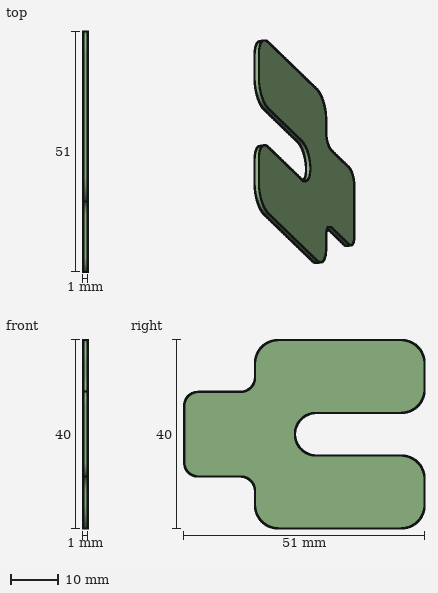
import cadquery as cq

thickness = 1.0
length = 51.0
height = 40.0

tab_length = 15.0
tab_height = 18.0
tab_radius = 3.0

body_length = length - tab_length
body_radius = 5.0
slot_width = 9.0
slot_depth = 27.5

rear_y = length / 2
front_y = -length / 2
shoulder_y = rear_y - body_length
slot_center_y = rear_y - slot_depth + slot_width / 2


def plate(y_min, y_max, plate_height):
    """Rectangular plate centred on X and Z, spanning y_min to y_max."""
    return (
        cq.Workplane("XY")
        .box(thickness, y_max - y_min, plate_height)
        .translate((0, (y_min + y_max) / 2, 0))
    )


def round_corners(part, y, half_height, radius):
    """Round the two edges through the thickness at y and +/- half_height."""
    for z in (-half_height, half_height):
        part = part.edges(cq.NearestToPointSelector((0, y, z))).fillet(radius)
    return part


blank = plate(shoulder_y, rear_y, height).union(plate(front_y, shoulder_y, tab_height))

slot_end = cq.Workplane("YZ").center(slot_center_y, 0).circle(slot_width / 2).extrude(thickness / 2, both=True)
slot = plate(slot_center_y, rear_y, slot_width).union(slot_end)
result = blank.cut(slot)

result = round_corners(result, rear_y, height / 2, body_radius)
result = round_corners(result, rear_y, slot_width / 2, body_radius)
result = round_corners(result, shoulder_y, height / 2, body_radius)
result = round_corners(result, shoulder_y, tab_height / 2, tab_radius)
result = round_corners(result, front_y, tab_height / 2, tab_radius)